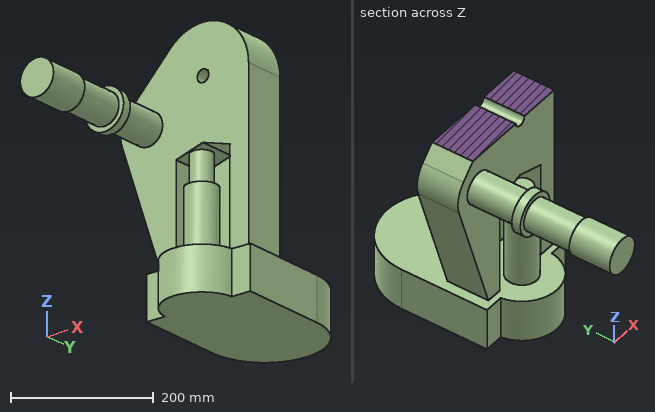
import cadquery as cq
import math

base_width = 186.0
base_height = 72.5
base_radius = base_width / 2
base_front_y = -7.5
base_round_y = 141.5
boss_radius = 60.5

plate_front_y = 3.0
plate_thickness = 71.5
plate_foot_left_x = -75.0
head_radius = 81.5
head_z = 352.5
hole_diameter = 20.2

pocket_width = 96.5
pocket_eave_z = 237.0
pocket_peak_z = 251.5
pocket_depth = 63.5

pin_radius = 25.5
pin_top_z = 181.5
pin_tip_radius = 18.0
pin_tip_top_z = 233.0

shaft_x = -99.0
shaft_z = 296.0
corner_radius = 48.5
shaft_radius = 26.5
shaft_end_y = -247.5
collar_radius = 34.5
collar_front_y = -95.5
collar_width = 15.0
grip_radius = 30.0
grip_length = 70.5


def cylinder_along_y(x, z, radius, front_y, back_y):
    """Cylinder between two Y positions."""
    axis = cq.Vector(0, 1, 0)
    return cq.Workplane(cq.Solid.makeCylinder(radius, back_y - front_y, cq.Vector(x, front_y, z), axis))


def make_base():
    slab = (
        cq.Workplane("XY")
        .moveTo(-base_radius, base_front_y)
        .lineTo(base_radius, base_front_y)
        .lineTo(base_radius, base_round_y)
        .threePointArc((0, base_round_y + base_radius), (-base_radius, base_round_y))
        .close()
        .extrude(base_height)
    )
    return slab.union(cq.Workplane("XY").circle(boss_radius).extrude(base_height))


def on_circle(center_x, center_z, radius, angle):
    return (center_x + radius * math.cos(angle), center_z + radius * math.sin(angle))


def make_plate():
    center_distance = math.hypot(shaft_x, head_z - shaft_z)
    center_angle = math.atan2(shaft_z - head_z, shaft_x)
    slope_angle = center_angle - math.acos((head_radius - corner_radius) / center_distance)

    foot_dx = plate_foot_left_x - shaft_x
    foot_dz = base_height - shaft_z
    foot_angle = math.atan2(foot_dz, foot_dx) - math.acos(corner_radius / math.hypot(foot_dx, foot_dz))

    corner_mid_angle = math.pi
    head_mid_angle = math.pi / 2

    outline = (
        cq.Workplane("XZ", origin=(0, plate_front_y, 0))
        .moveTo(plate_foot_left_x, base_height)
        .lineTo(*on_circle(shaft_x, shaft_z, corner_radius, foot_angle))
        .threePointArc(
            on_circle(shaft_x, shaft_z, corner_radius, corner_mid_angle),
            on_circle(shaft_x, shaft_z, corner_radius, slope_angle),
        )
        .lineTo(*on_circle(0, head_z, head_radius, slope_angle))
        .threePointArc(on_circle(0, head_z, head_radius, head_mid_angle), (head_radius, head_z))
        .lineTo(head_radius, base_height)
        .close()
    )
    return outline.extrude(-plate_thickness)


def make_pocket():
    half_width = pocket_width / 2
    return (
        cq.Workplane("XZ", origin=(0, plate_front_y, 0))
        .moveTo(-half_width, base_height)
        .lineTo(-half_width, pocket_eave_z)
        .lineTo(0, pocket_peak_z)
        .lineTo(half_width, pocket_eave_z)
        .lineTo(half_width, base_height)
        .close()
        .extrude(-pocket_depth)
    )


def make_pin():
    body = cq.Workplane("XY").circle(pin_radius).extrude(pin_top_z)
    return body.union(cq.Workplane("XY").circle(pin_tip_radius).extrude(pin_tip_top_z))


def make_shaft():
    root_y = plate_front_y + plate_thickness / 2
    shaft = cylinder_along_y(shaft_x, shaft_z, shaft_radius, shaft_end_y, root_y)
    collar_back_y = collar_front_y + collar_width
    collar = cylinder_along_y(shaft_x, shaft_z, collar_radius, collar_front_y, collar_back_y)
    grip = cylinder_along_y(shaft_x, shaft_z, grip_radius, shaft_end_y, shaft_end_y + grip_length)
    return shaft.union(collar).union(grip)


plate_back_y = plate_front_y + plate_thickness
hole = cylinder_along_y(0, head_z, hole_diameter / 2, plate_front_y, plate_back_y)
plate = make_plate().cut(make_pocket()).cut(hole)
result = make_base().union(plate).union(make_pin()).union(make_shaft())